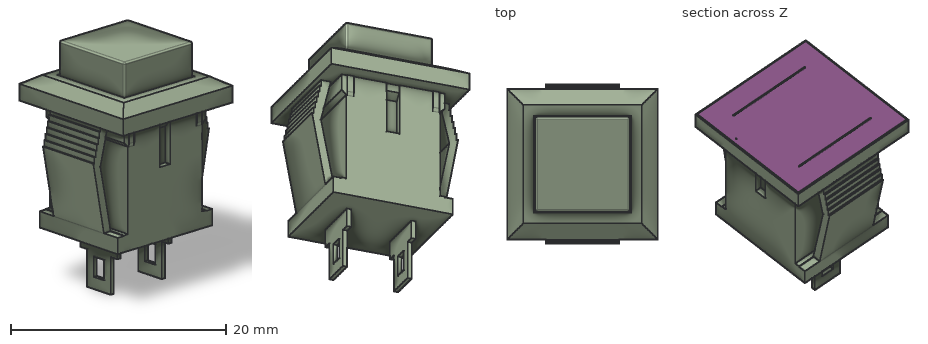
import cadquery as cq


BEZEL_SIZE = 14.0
BEZEL_TOP_SIZE = 11.0
BEZEL_RIM_HEIGHT = 1.65
BEZEL_HEIGHT = 2.55
WELL_WIDTH_X = 9.08
WELL_DEPTH_Y = 9.0
WELL_FLOOR_Z = 1.55

CAP_SIZE = 8.8
CAP_TOP_Z = 5.95
CAP_FILLET = 0.2
SKIRT_DEPTH_Y = 8.88
SKIRT_HEIGHT = 0.3

BODY_WIDTH_X = 10.55
BODY_DEPTH_Y = 9.5
BASE_DEPTH_Y = 12.1
BASE_TOP_Z = -10.65
BASE_BOTTOM_Z = -12.25
BASE_STEP_DEPTH_Y = 10.5
BASE_STEP_HEIGHT = 0.06

LEDGE_DEPTH_Y = 10.4
LEDGE_BOTTOM_Z = -2.02
LEDGE_CHAMFER = (LEDGE_DEPTH_Y - BODY_DEPTH_Y) / 2

RIB_PROTRUSION = 0.1
RIB_INNER_Y = 4.0
RIB_OUTER_Y = 4.67
RIB_TAPER_HEIGHT = 0.37

SLOT_WIDTH_Y = 1.3
SLOT_DEPTH = 0.65
SLOT_BOTTOM_Z = -4.98
WEDGE_RECESS = 0.1
WEDGE_TOP_Z = -0.75
WEDGE_BOTTOM_Z = -1.42

ARM_WIDTH_X = 6.8
ARM_TIP_Y = 7.4
ARM_INNER_TOP_Y = 5.5
ARM_INNER_KNEE_Y = 6.5
ARM_INNER_FOOT_Y = 5.18
ARM_KNEE_Z = -4.05
TOOTH_COUNT = 6
TOOTH_HEIGHT = 0.587
TOOTH_STEP = 0.153

TERMINAL_INNER_Y = 3.05
TERMINAL_THICKNESS = 0.43
TERMINAL_WIDTH = 5.0
TERMINAL_SHOULDER_Z = -14.05
TAB_WIDTH = 3.2
TERMINAL_TIP_Z = -17.75
WINDOW_WIDTH = 1.4
WINDOW_TOP_Z = -14.55
WINDOW_BOTTOM_Z = -16.55

OVERLAP = 0.3


def block(size_x, size_y, bottom_z, top_z):
    """Box centred on the Z axis between two heights."""
    base = cq.Workplane("XY").workplane(offset=bottom_z)
    return base.rect(size_x, size_y).extrude(top_z - bottom_z)


def yz_prism(points, width_x):
    """(y, z) outline extruded symmetrically about the YZ plane."""
    return cq.Workplane("YZ").polyline(points).close().extrude(width_x / 2, both=True)


def xz_prism(points, start_y, end_y):
    """(x, z) outline extruded from start_y to end_y."""
    plane = cq.Workplane("XZ", origin=(0, start_y, 0))
    return plane.polyline(points).close().extrude(start_y - end_y)


def on_both_y_sides(piece):
    return piece.union(piece.mirror("XZ"))


def on_both_x_sides(piece):
    return piece.union(piece.mirror("YZ"))


def make_bezel():
    rim = block(BEZEL_SIZE, BEZEL_SIZE, 0, BEZEL_RIM_HEIGHT)
    slope = (
        cq.Workplane("XY")
        .workplane(offset=BEZEL_RIM_HEIGHT)
        .rect(BEZEL_SIZE, BEZEL_SIZE)
        .workplane(offset=BEZEL_HEIGHT - BEZEL_RIM_HEIGHT)
        .rect(BEZEL_TOP_SIZE, BEZEL_TOP_SIZE)
        .loft(ruled=True)
    )
    well = block(WELL_WIDTH_X, WELL_DEPTH_Y, WELL_FLOOR_Z, BEZEL_HEIGHT)
    return rim.union(slope).cut(well)


def make_cap():
    """Filleted cap on a low skirt that spans the well along X."""
    cap = block(CAP_SIZE, CAP_SIZE, WELL_FLOOR_Z - OVERLAP, CAP_TOP_Z)
    cap = cap.edges("|Z").fillet(CAP_FILLET)
    cap = cap.faces(">Z").edges().fillet(CAP_FILLET)
    skirt_top_z = WELL_FLOOR_Z + SKIRT_HEIGHT
    return cap.union(block(WELL_WIDTH_X, SKIRT_DEPTH_Y, WELL_FLOOR_Z, skirt_top_z))


def make_housing():
    body = block(BODY_WIDTH_X, BODY_DEPTH_Y, BASE_BOTTOM_Z, 0)
    base = block(BODY_WIDTH_X, BASE_DEPTH_Y, BASE_BOTTOM_Z, BASE_TOP_Z)
    step = block(BODY_WIDTH_X, BASE_STEP_DEPTH_Y, BASE_TOP_Z, BASE_TOP_Z + BASE_STEP_HEIGHT)
    ledge_y = LEDGE_DEPTH_Y / 2
    wall_y = BODY_DEPTH_Y / 2
    ledge_outline = [
        (-ledge_y, 0),
        (-ledge_y, LEDGE_BOTTOM_Z + LEDGE_CHAMFER),
        (-wall_y, LEDGE_BOTTOM_Z),
        (wall_y, LEDGE_BOTTOM_Z),
        (ledge_y, LEDGE_BOTTOM_Z + LEDGE_CHAMFER),
        (ledge_y, 0),
    ]
    ledge = yz_prism(ledge_outline, BODY_WIDTH_X)
    return body.union(base).union(step).union(ledge)


def make_ribs():
    wall_x = BODY_WIDTH_X / 2
    outer_x = wall_x + RIB_PROTRUSION
    profile = [
        (wall_x - OVERLAP, 0),
        (outer_x, 0),
        (outer_x, LEDGE_BOTTOM_Z + RIB_TAPER_HEIGHT),
        (wall_x, LEDGE_BOTTOM_Z),
        (wall_x - OVERLAP, LEDGE_BOTTOM_Z),
    ]
    return on_both_x_sides(on_both_y_sides(xz_prism(profile, RIB_INNER_Y, RIB_OUTER_Y)))


def make_slots():
    """Slot volumes; the wedge left at the top sits slightly below the wall."""
    wall_x = BODY_WIDTH_X / 2
    floor_x = wall_x - SLOT_DEPTH
    wedge_x = wall_x - WEDGE_RECESS
    profile = [
        (wall_x, 0),
        (wedge_x, 0),
        (wedge_x, WEDGE_TOP_Z),
        (floor_x, WEDGE_BOTTOM_Z),
        (floor_x, SLOT_BOTTOM_Z),
        (wall_x, SLOT_BOTTOM_Z),
    ]
    return on_both_x_sides(xz_prism(profile, -SLOT_WIDTH_Y / 2, SLOT_WIDTH_Y / 2))


def make_arms():
    outline = [(ARM_INNER_FOOT_Y, BASE_TOP_Z), (ARM_INNER_KNEE_Y, ARM_KNEE_Z), (ARM_INNER_TOP_Y, 0)]
    for tooth in range(TOOTH_COUNT):
        face_y = ARM_TIP_Y - (TOOTH_COUNT - tooth) * TOOTH_STEP
        outline.append((face_y, -tooth * TOOTH_HEIGHT))
        outline.append((face_y, -(tooth + 1) * TOOTH_HEIGHT))
    outline.append((ARM_TIP_Y, -TOOTH_COUNT * TOOTH_HEIGHT))
    outline.append((BASE_DEPTH_Y / 2, BASE_TOP_Z))
    return on_both_y_sides(yz_prism(outline, ARM_WIDTH_X))


def make_terminals():
    outer_y = TERMINAL_INNER_Y + TERMINAL_THICKNESS
    outline = [
        (-TERMINAL_WIDTH / 2, BASE_BOTTOM_Z + OVERLAP),
        (-TERMINAL_WIDTH / 2, TERMINAL_SHOULDER_Z),
        (-TAB_WIDTH / 2, TERMINAL_SHOULDER_Z),
        (-TAB_WIDTH / 2, TERMINAL_TIP_Z),
        (TAB_WIDTH / 2, TERMINAL_TIP_Z),
        (TAB_WIDTH / 2, TERMINAL_SHOULDER_Z),
        (TERMINAL_WIDTH / 2, TERMINAL_SHOULDER_Z),
        (TERMINAL_WIDTH / 2, BASE_BOTTOM_Z + OVERLAP),
    ]
    blade = xz_prism(outline, TERMINAL_INNER_Y, outer_y)
    window = block(WINDOW_WIDTH, BASE_DEPTH_Y, WINDOW_BOTTOM_Z, WINDOW_TOP_Z)
    return on_both_y_sides(blade.cut(window))


housing = make_housing().union(make_ribs()).cut(make_slots())
head = make_bezel().union(make_cap())
result = housing.union(head).union(make_arms()).union(make_terminals())